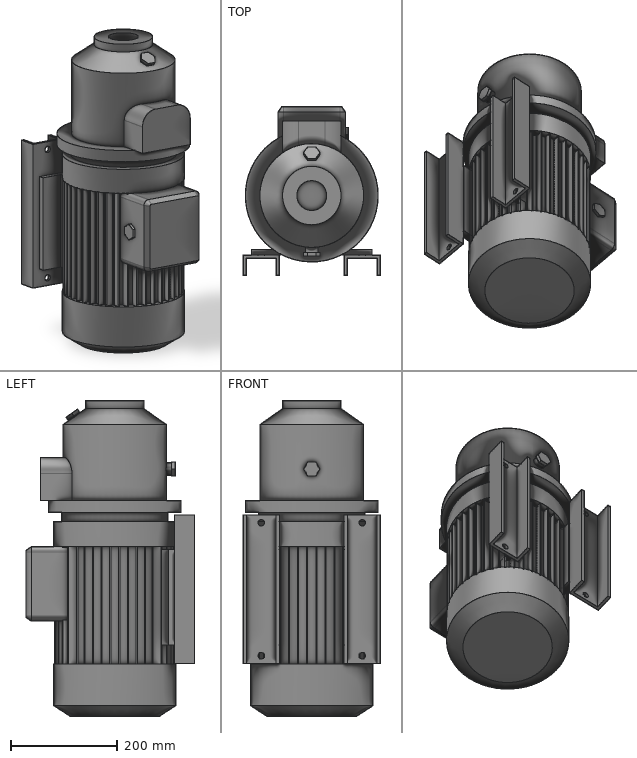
import cadquery as cq
import math

HOOD_BASE_Z = 0.0
HOOD_EDGE_Z = 20.0
FIN_BOTTOM_Z = 98.0
FIN_TOP_Z = 319.0
BAND_TOP_Z = 366.0
FLANGE_BOTTOM_Z = 383.5
FLANGE_TOP_Z = 405.5
PUMP_SHOULDER_Z = 548.5
PUMP_COLLAR_Z = 578.5
TOP_Z = 593.5

MOTOR_D = 230.0
HOOD_BASE_D = 168.0
FIN_CORE_D = 204.0
FIN_TIP_D = 228.0
NECK_D = 200.0
FLANGE_D = 250.0

FIN_THICKNESS = 2.0
FINS_PER_SIDE = 10
X_FIN_ANGLE = 8.5
Y_FIN_ANGLE = 8.8

BOX_WIDTH = 127.0
BOX_HEIGHT = 140.0
BOX_BACK_Y = 167.0
BOX_CORNER_R = 10.0
LID_BEVEL_DEPTH = 10.0
LID_BEVEL_INSET = 7.0
GLAND_Y = 115.0
GLAND_LENGTH = 5.5

RAIL_HALF_SPAN = 129.0
RAIL_WIDTH = 68.0
RAIL_DEPTH = 38.0
RAIL_WALL = 6.0
RAIL_FRONT_Y = -150.0
RAIL_BOTTOM_Z = 99.0
RAIL_LENGTH = 280.0
RAIL_HOLE_D = 12.0
RAIL_HOLE_END = 15.0
FOOT_HALF_SPAN = 113.5
FOOT_INNER_X = 59.0
FOOT_THICKNESS = 11.0
FOOT_WEB_WIDTH = 14.0
FOOT_WEB_BACK_Y = -68.0
FOOT_BOTTOM_Z = 134.0
FOOT_HEIGHT = 180.0

PUMP_D = 195.0
COLLAR_D = 110.0
INLET_D = 56.0
INLET_DEPTH = 15.0
OUTLET_WIDTH = 110.0
OUTLET_CORNER_R = 30.0
OUTLET_TOP_Z = 487.0
OUTLET_END_Y = 140.0

HEX_FLATS = 26.6
HEX_CORNERS = HEX_FLATS / math.cos(math.pi / 6)
PLUG_HEAD = 7.0
PLUG_STEM_D = 24.0
DRAIN_Z = 465.0
DRAIN_END_Y = -114.0
VENT_HEIGHT = 8.0

rail_center_x = RAIL_HALF_SPAN - RAIL_WIDTH / 2
rail_back_y = RAIL_FRONT_Y + RAIL_DEPTH
foot_back_y = rail_back_y + FOOT_THICKNESS


def cylinder(diameter, bottom_z, top_z):
    return cq.Workplane("XY").workplane(offset=bottom_z).circle(diameter / 2).extrude(top_z - bottom_z)


def block(x_range, y_range, z_range):
    size = [high - low for low, high in (x_range, y_range, z_range)]
    corner = (x_range[0], y_range[0], z_range[0])
    return cq.Workplane("XY").box(*size, centered=False).translate(corner)


def motor_housing():
    radius = MOTOR_D / 2
    profile = [
        (0, HOOD_BASE_Z),
        (HOOD_BASE_D / 2, HOOD_BASE_Z),
        (radius, HOOD_EDGE_Z),
        (radius, FIN_BOTTOM_Z),
        (FIN_CORE_D / 2, FIN_BOTTOM_Z),
        (FIN_CORE_D / 2, FIN_TOP_Z),
        (radius, FIN_TOP_Z),
        (radius, BAND_TOP_Z),
        (NECK_D / 2, BAND_TOP_Z),
        (NECK_D / 2, FLANGE_BOTTOM_Z),
        (FLANGE_D / 2, FLANGE_BOTTOM_Z),
        (FLANGE_D / 2, FLANGE_TOP_Z),
        (0, FLANGE_TOP_Z),
    ]
    return cq.Workplane("XZ").polyline(profile).close().revolve(360, (0, 0, 0), (0, 1, 0))


def fin_offsets(tip_angle):
    """Distances of the fin mid-planes from the motor axis."""
    middle = (FINS_PER_SIDE - 1) / 2
    return [FIN_TIP_D / 2 * math.sin(math.radians(tip_angle * (i - middle))) for i in range(FINS_PER_SIDE)]


def cooling_fins():
    envelope = cylinder(FIN_TIP_D, FIN_BOTTOM_Z, FIN_TOP_Z)
    fins = cylinder(FIN_CORE_D, FIN_BOTTOM_Z, FIN_TOP_Z)
    length = (-FIN_TIP_D / 2, FIN_TIP_D / 2)
    height = (FIN_BOTTOM_Z, FIN_TOP_Z)
    half = FIN_THICKNESS / 2
    for y in fin_offsets(X_FIN_ANGLE):
        fins = fins.union(block(length, (y - half, y + half), height))
    for x in fin_offsets(Y_FIN_ANGLE):
        fins = fins.union(block((x - half, x + half), length, height))
    return fins.intersect(envelope)


def terminal_box():
    half = BOX_WIDTH / 2
    box = block((-half, half), (0, BOX_BACK_Y), (FIN_TOP_Z - BOX_HEIGHT, FIN_TOP_Z))
    box = box.edges("|Y").fillet(BOX_CORNER_R)
    box = box.faces(">Y").edges().chamfer(LID_BEVEL_INSET, LID_BEVEL_DEPTH)
    gland = (
        cq.Workplane("YZ", origin=(half, GLAND_Y, FIN_TOP_Z - BOX_HEIGHT / 2))
        .transformed(rotate=(0, 0, 90))
        .polygon(6, HEX_CORNERS)
        .extrude(GLAND_LENGTH)
    )
    return box.union(gland)


def foot_and_rail():
    """Rail and foot on the +X side."""
    outer_x = RAIL_HALF_SPAN
    inner_x = RAIL_HALF_SPAN - RAIL_WIDTH
    rail_z = (RAIL_BOTTOM_Z, RAIL_BOTTOM_Z + RAIL_LENGTH)
    rail = block((inner_x, outer_x), (RAIL_FRONT_Y, rail_back_y), rail_z)
    channel = block(
        (inner_x + RAIL_WALL, outer_x - RAIL_WALL), (RAIL_FRONT_Y, rail_back_y - RAIL_WALL), rail_z
    )
    hole_z = (rail_z[0] + RAIL_HOLE_END, rail_z[1] - RAIL_HOLE_END)
    holes = (
        cq.Workplane("XZ", origin=(0, rail_back_y, 0))
        .pushPoints([(rail_center_x, z) for z in hole_z])
        .circle(RAIL_HOLE_D / 2)
        .extrude(RAIL_WALL)
    )
    rail = rail.cut(channel).cut(holes)

    foot_z = (FOOT_BOTTOM_Z, FOOT_BOTTOM_Z + FOOT_HEIGHT)
    pad = block((FOOT_INNER_X, FOOT_HALF_SPAN), (rail_back_y, foot_back_y), foot_z)
    web = block((FOOT_INNER_X, FOOT_INNER_X + FOOT_WEB_WIDTH), (rail_back_y, FOOT_WEB_BACK_Y), foot_z)
    return rail.union(pad).union(web)


def pump_casing():
    profile = [
        (0, FLANGE_TOP_Z),
        (PUMP_D / 2, FLANGE_TOP_Z),
        (PUMP_D / 2, PUMP_SHOULDER_Z),
        (COLLAR_D / 2, PUMP_COLLAR_Z),
        (COLLAR_D / 2, TOP_Z),
        (INLET_D / 2, TOP_Z),
        (INLET_D / 2, TOP_Z - INLET_DEPTH),
        (0, TOP_Z - INLET_DEPTH),
    ]
    return cq.Workplane("XZ").polyline(profile).close().revolve(360, (0, 0, 0), (0, 1, 0))


def pump_outlet():
    half = OUTLET_WIDTH / 2
    outlet = block((-half, half), (0, OUTLET_END_Y), (FLANGE_TOP_Z, OUTLET_TOP_Z))
    return outlet.edges("|Y and >Z").fillet(OUTLET_CORNER_R)


def screw_plug(end_point, direction, stem_length):
    """Hexagon head ending at end_point, with a stem running back into the casing."""
    plane = cq.Plane(origin=end_point, xDir=(1, 0, 0), normal=direction)
    head = cq.Workplane(plane).polygon(6, HEX_CORNERS).extrude(-PLUG_HEAD)
    stem = cq.Workplane(plane).circle(PLUG_STEM_D / 2).extrude(-stem_length)
    return head.union(stem)


def vent_plug():
    """Plug standing square on the middle of the conical shoulder."""
    slope = math.atan2(PUMP_COLLAR_Z - PUMP_SHOULDER_Z, (PUMP_D - COLLAR_D) / 2)
    normal = (0, math.sin(slope), math.cos(slope))
    middle_y = (PUMP_D + COLLAR_D) / 4
    middle_z = (PUMP_SHOULDER_Z + PUMP_COLLAR_Z) / 2
    end_point = (0, middle_y + VENT_HEIGHT * normal[1], middle_z + VENT_HEIGHT * normal[2])
    return screw_plug(end_point, normal, 2 * VENT_HEIGHT)


motor = motor_housing().union(cooling_fins()).union(terminal_box())
for mount in (foot_and_rail(), foot_and_rail().mirror("YZ")):
    motor = motor.union(mount)

drain_plug = screw_plug((0, DRAIN_END_Y, DRAIN_Z), (0, -1, 0), -DRAIN_END_Y - COLLAR_D / 2)
pump = pump_casing().union(pump_outlet()).union(vent_plug()).union(drain_plug)

result = cq.Compound.makeCompound([motor.solids().val(), pump.solids().val()])